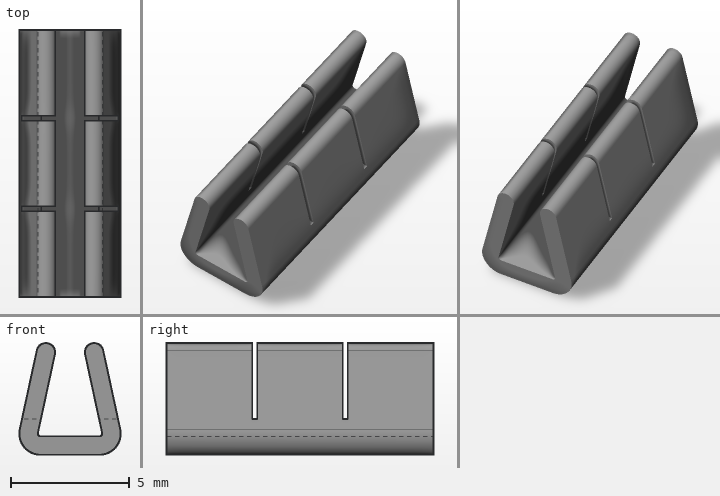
import cadquery as cq
import math

length = 11.23
width = 4.27
height = 4.7
wall = 0.79
inner_bend_radius = 0.11
wall_lean = math.radians(12.2)

slot_count = 2
slot_width = 0.2
slot_floor = 1.52

outer_bend_radius = inner_bend_radius + wall
tip_radius = wall / 2
bend_x = width / 2 - outer_bend_radius
bend_z = outer_bend_radius
tip_z = height - tip_radius
mid_bend_radius = inner_bend_radius + tip_radius
tip_x = bend_x + mid_bend_radius / math.cos(wall_lean) - (tip_z - bend_z) * math.tan(wall_lean)


def point_on_arc(center_x, center_z, radius, angle, side):
    """Point at an angle above the outward direction of one side wall."""
    x = center_x + radius * math.cos(angle)
    z = center_z + radius * math.sin(angle)
    return (side * x, z)


def bend_point(radius, angle, side):
    return point_on_arc(bend_x, bend_z, radius, angle, side)


def tip_point(angle, side):
    return point_on_arc(tip_x, tip_z, tip_radius, angle, side)


def make_channel():
    bottom = -math.pi / 2
    bend_middle = (bottom + wall_lean) / 2
    tip_middle = wall_lean + math.pi / 2
    tip_inside = wall_lean + math.pi
    right, left = 1, -1
    profile = (
        cq.Workplane("XZ", origin=(0, length / 2, 0))
        .moveTo(*bend_point(outer_bend_radius, bottom, left))
        .lineTo(*bend_point(outer_bend_radius, bottom, right))
        .threePointArc(
            bend_point(outer_bend_radius, bend_middle, right),
            bend_point(outer_bend_radius, wall_lean, right),
        )
        .lineTo(*tip_point(wall_lean, right))
        .threePointArc(tip_point(tip_middle, right), tip_point(tip_inside, right))
        .lineTo(*bend_point(inner_bend_radius, wall_lean, right))
        .threePointArc(
            bend_point(inner_bend_radius, bend_middle, right),
            bend_point(inner_bend_radius, bottom, right),
        )
        .lineTo(*bend_point(inner_bend_radius, bottom, left))
        .threePointArc(
            bend_point(inner_bend_radius, bend_middle, left),
            bend_point(inner_bend_radius, wall_lean, left),
        )
        .lineTo(*tip_point(tip_inside, left))
        .threePointArc(tip_point(tip_middle, left), tip_point(wall_lean, left))
        .lineTo(*bend_point(outer_bend_radius, wall_lean, left))
        .threePointArc(
            bend_point(outer_bend_radius, bend_middle, left),
            bend_point(outer_bend_radius, bottom, left),
        )
        .close()
    )
    return profile.extrude(length)


def cut_slots(channel):
    segment_length = (length - slot_count * slot_width) / (slot_count + 1)
    slot_pitch = segment_length + slot_width
    slot_positions = [(0, (i - (slot_count - 1) / 2) * slot_pitch) for i in range(slot_count)]
    slots = (
        cq.Workplane("XY", origin=(0, 0, slot_floor))
        .pushPoints(slot_positions)
        .rect(width, slot_width)
        .extrude(height - slot_floor)
    )
    return channel.cut(slots)


result = cut_slots(make_channel()).translate((0, 0, -height / 2))